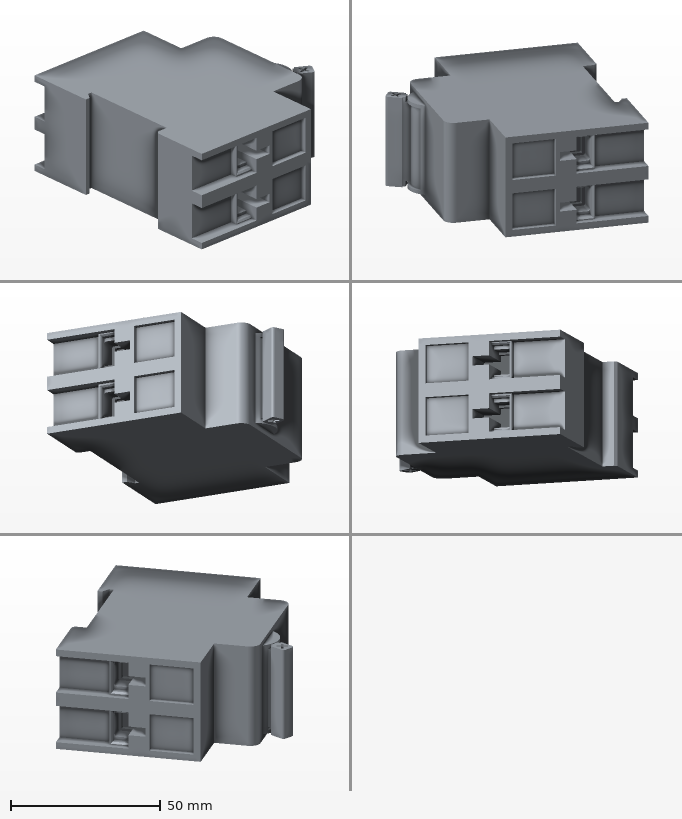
import cadquery as cq
import math


body_length = 82.0
body_height = 35.6
shoulder_y = 50.0
nose_width = 45.0
nose_y = 65.1
nose_corner_diameter = 7.0

rail_width = 36.9
rail_depth = 5.0
hook_reach = 2.6
hook_tip_y = 1.7
hook_root_y = 3.45
rail_lead_in = 1.0

pocket_outer_z = 15.4
pocket_width = 13.0
pocket_middle_z = pocket_outer_z - pocket_width / 2
label_bottom_y = 32.4
label_top_y = 47.65
label_depth = 2.05
wire_recess_top_y = 18.0
wire_recess_depth = 4.9

pole_z = 9.0
terminal_top_y = 25.1
mouth_depth = 2.3
funnel_width = 12.1
funnel_bottom_y = 18.4
funnel_chamfer = 0.6
throat_width = funnel_width - 2 * funnel_chamfer
throat_bottom_y = funnel_bottom_y + funnel_chamfer
throat_depth = 4.9
cage_width = 8.7
cage_corner_radius = 0.8
cage_depth = 10.7
clamp_width = 7.05
clamp_bottom_y = 20.0
clamp_corner_radius = 0.3
terminal_depth = 12.3
screw_slot_width = 3.1
screw_slot_top_y = 31.0

drum_x = 8.5
drum_y = 61.0
drum_radius = 8.0
drum_length = 31.8
slot_floor_radius = 7.0
slot_length = 29.2
slot_half_angle = 46.0
lever_lean = 30.0
lever_width = 5.2
lever_length = drum_length
lever_base = 9.35
lever_tip = 15.3
lever_corner_radius = 1.0
neck_width = 3.3
neck_base = 8.5
stem_length = 27.9
stem_embedding = 0.8
cross_distance = 12.1
cross_span = 3.9
cross_arm_width = 0.9
cross_arm_angle = 45.0


def plate(profile, height):
    """Extrude a closed XY profile symmetrically about Z = 0."""
    return profile.extrude(height / 2, both=True)


def end_cut(depth_from, depth_to, y_from, y_to, z_middle, width):
    """Block cutting the -X end between two depths and two Y levels."""
    return (
        cq.Workplane("XY")
        .box(depth_to - depth_from, y_to - y_from, width, centered=(False, False, True))
        .translate((depth_from - body_length / 2, y_from, z_middle))
    )


def make_body():
    half_length = body_length / 2
    half_nose = nose_width / 2
    half_rail = rail_width / 2
    hook_tip_x = -half_rail + hook_reach
    outline = [
        (-half_length, 0),
        (hook_tip_x, 0),
        (hook_tip_x, hook_tip_y),
        (-half_rail, hook_root_y),
        (-half_rail, rail_depth),
        (half_rail, rail_depth),
        (half_rail, rail_lead_in),
        (half_rail + rail_lead_in, 0),
        (half_length, 0),
        (half_length, shoulder_y),
        (half_nose, shoulder_y),
        (half_nose, nose_y),
        (-half_nose, nose_y),
        (-half_nose, shoulder_y),
        (-half_length, shoulder_y),
    ]
    body = plate(cq.Workplane("XY").polyline(outline).close(), body_height)
    return body.edges("|Z and >Y").fillet(nose_corner_diameter / 2)


def make_end_cuts():
    """All pockets of the upper pole on the -X end."""
    label = end_cut(0, label_depth, label_bottom_y, label_top_y, pocket_middle_z, pocket_width)
    wire_recess = end_cut(0, wire_recess_depth, 0, wire_recess_top_y, pocket_middle_z, pocket_width)
    mouth = end_cut(0, mouth_depth, wire_recess_top_y, terminal_top_y, pocket_middle_z, pocket_width)
    funnel = (
        cq.Workplane("YZ")
        .center((funnel_bottom_y + terminal_top_y) / 2, pole_z)
        .rect(terminal_top_y - funnel_bottom_y, funnel_width)
        .workplane(offset=funnel_chamfer)
        .center(funnel_chamfer / 2, 0)
        .rect(terminal_top_y - throat_bottom_y, throat_width)
        .loft(ruled=True)
        .translate((mouth_depth - body_length / 2, 0, 0))
    )
    throat = end_cut(mouth_depth, throat_depth, throat_bottom_y, terminal_top_y, pole_z, throat_width)
    cage = end_cut(mouth_depth, cage_depth, throat_bottom_y, terminal_top_y, pole_z, cage_width)
    cage = cage.edges("|X and <Y").fillet(cage_corner_radius)
    clamp = end_cut(mouth_depth, terminal_depth, clamp_bottom_y, terminal_top_y, pole_z, clamp_width)
    clamp = clamp.edges("|X and <Y").fillet(clamp_corner_radius)
    screw_slot = end_cut(0, terminal_depth, terminal_top_y, screw_slot_top_y, pole_z, screw_slot_width)
    return [label, wire_recess, mouth, funnel, throat, cage, clamp, screw_slot]


def make_drum():
    """Drum with an annular slot, open at the top, in which the lever swings."""
    drum = plate(cq.Workplane("XY").circle(drum_radius), drum_length)
    reach = 2 * drum_radius
    side = reach * math.tan(math.radians(slot_half_angle))
    wedge = plate(cq.Workplane("XY").polyline([(0, 0), (side, reach), (-side, reach)]).close(), slot_length)
    slot_floor = plate(cq.Workplane("XY").circle(slot_floor_radius), slot_length)
    return drum.cut(wedge.cut(slot_floor))


def bar(width, bottom, top, length):
    """Upright bar centred on the Y axis."""
    return plate(cq.Workplane("XY").center(0, (bottom + top) / 2).rect(width, top - bottom), length)


def make_lever():
    """Lever, modelled upright above the drum axis and then leaned over."""
    grip = bar(lever_width, lever_base, lever_tip, lever_length)
    grip = grip.edges("|Z and >Y").fillet(lever_corner_radius)
    neck = bar(neck_width, neck_base, lever_base, lever_length)
    stem = bar(neck_width, slot_floor_radius - stem_embedding, neck_base, stem_length)
    lever = grip.union(neck).union(stem)
    for arm_angle in (cross_arm_angle, -cross_arm_angle):
        arm = cq.Workplane("XY").center(0, cross_distance).transformed((0, 0, arm_angle))
        lever = lever.cut(plate(arm.rect(cross_span, cross_arm_width), lever_length))
    return lever.rotate((0, 0, 0), (0, 0, 1), -lever_lean)


result = make_body()
for cut in make_end_cuts():
    both_poles = cut.union(cut.mirror("XY"))
    result = result.cut(both_poles).cut(both_poles.mirror("YZ"))
toggle = make_drum().union(make_lever())
result = result.union(toggle.translate((drum_x, drum_y, 0)))